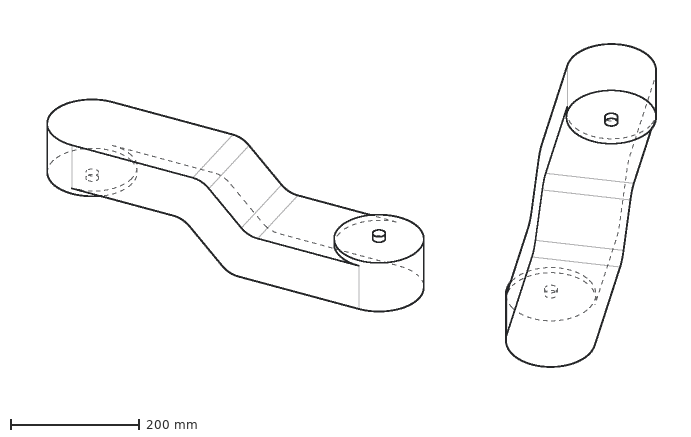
import cadquery as cq
import math

pivot_spacing = 500.0
arm_width = 140.0
arm_thickness = 80.0
slope_angle = 45.0
bend_radius = 40.0
disc_height = 10.0
pin_diameter = 20.0
pin_length = 10.0

joint_radius = arm_width / 2
upper_pivot_x = joint_radius
lower_pivot_x = upper_pivot_x + pivot_spacing
middle_x = (upper_pivot_x + lower_pivot_x) / 2
step_height = arm_thickness
total_height = arm_thickness + step_height
web_run = step_height / math.tan(math.radians(slope_angle))
web_half_width_x = arm_thickness / 2 / math.sin(math.radians(slope_angle))


def make_arm():
    """Cranked bar between the joint axes, with rounded bends."""
    inner_corner_x = middle_x + web_half_width_x
    underside_corner_x = middle_x - web_half_width_x
    profile = [
        (upper_pivot_x, total_height),
        (inner_corner_x - web_run, total_height),
        (inner_corner_x, arm_thickness),
        (lower_pivot_x, arm_thickness),
        (lower_pivot_x, 0),
        (underside_corner_x + web_run, 0),
        (underside_corner_x, step_height),
        (upper_pivot_x, step_height),
    ]
    bar = cq.Workplane("XZ").polyline(profile).close().extrude(arm_width / 2, both=True)
    is_inside_bar = cq.selectors.BoxSelector(
        (upper_pivot_x + joint_radius, -arm_width, -total_height),
        (lower_pivot_x - joint_radius, arm_width, 2 * total_height),
    )
    bends = bar.edges("|Y").edges(is_inside_bar)
    return bends.fillet(bend_radius)


def make_joint(pivot_x, outer_face_z, direction):
    """Round arm end with its disc and pin; direction is +1 up or -1 down in Z."""
    barrel_height = arm_thickness + disc_height
    base = cq.Workplane("XY").workplane(offset=outer_face_z).center(pivot_x, 0)
    barrel = base.circle(joint_radius).extrude(direction * barrel_height)
    pin = base.circle(pin_diameter / 2).extrude(direction * (barrel_height + pin_length))
    return barrel.union(pin)


upper_joint = make_joint(upper_pivot_x, total_height, -1)
lower_joint = make_joint(lower_pivot_x, 0, 1)
result = make_arm().union(upper_joint).union(lower_joint)